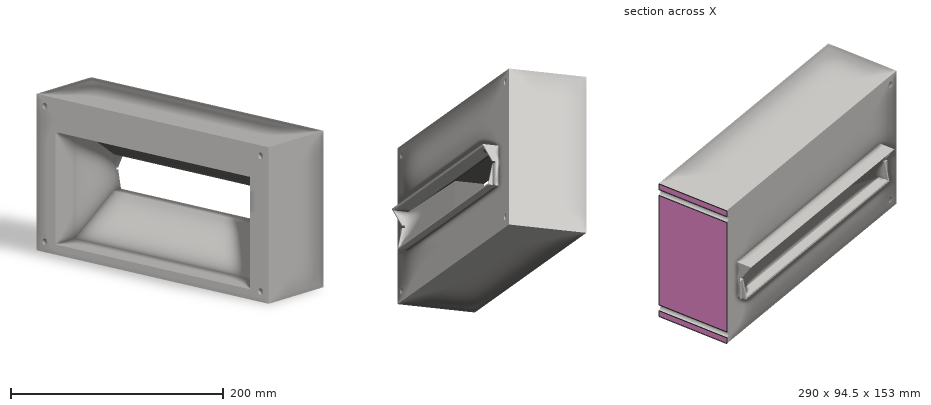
import cadquery as cq

LENGTH = 290.0
DEPTH = 78.3
HEIGHT = 153.0

PASSAGE_Z = 65.0
MOUTH_LENGTH = 243.5
MOUTH_HEIGHT = 110.0
MOUTH_DEPTH = 29.0
SLOT_LENGTH = 233.2
SLOT_HEIGHT = 35.7

HOLE_DIAMETER = 6.0
HOLE_INSET = 10.2

SPOUT_WALL = 1.7
SPOUT_LENGTH = SLOT_LENGTH + 2 * SPOUT_WALL
SPOUT_HEIGHT = SLOT_HEIGHT + 2 * SPOUT_WALL
SPOUT_BOTTOM = PASSAGE_Z - SPOUT_HEIGHT / 2
SPOUT_TOP = SPOUT_BOTTOM + SPOUT_HEIGHT
ROOF_REACH = 16.2
FLOOR_REACH = 10.5
WAIST_REACH = 6.0
NOTCH_REACH = 3.5
NOTCH_HEIGHT = 2.3
LOWER_PART_HEIGHT = 21.2

BARB_WIDTH = 3.2


def passage_plane(y):
    """Plane across the passage at depth y, with its normal pointing along +Y."""
    return cq.Plane(origin=(0, y, PASSAGE_Z), xDir=(-1, 0, 0), normal=(0, 1, 0))


def make_housing():
    block = cq.Workplane().box(LENGTH, DEPTH, HEIGHT, centered=(True, False, False))
    mouth = cq.Workplane(passage_plane(0)).rect(MOUTH_LENGTH, MOUTH_HEIGHT).extrude(MOUTH_DEPTH)
    taper = (
        cq.Workplane(passage_plane(MOUTH_DEPTH))
        .rect(MOUTH_LENGTH, MOUTH_HEIGHT)
        .workplane(offset=DEPTH - MOUTH_DEPTH)
        .rect(SLOT_LENGTH, SLOT_HEIGHT)
        .loft(ruled=True)
    )
    holes = (
        cq.Workplane("XZ", origin=(0, 0, HEIGHT / 2))
        .rect(LENGTH - 2 * HOLE_INSET, HEIGHT - 2 * HOLE_INSET, forConstruction=True)
        .vertices()
        .circle(HOLE_DIAMETER / 2)
        .extrude(-DEPTH)
    )
    return block.cut(mouth).cut(taper).cut(holes)


def make_barb(side):
    """Triangular barb with a flat rear face; side is -1 for -X and +1 for +X."""
    wall_x = side * SPOUT_LENGTH / 2
    return (
        cq.Workplane("XY", origin=(0, DEPTH, SPOUT_BOTTOM))
        .moveTo(wall_x, NOTCH_REACH)
        .lineTo(wall_x + side * BARB_WIDTH, WAIST_REACH)
        .lineTo(wall_x, WAIST_REACH)
        .close()
        .extrude(LOWER_PART_HEIGHT)
    )


def make_spout():
    notch_bottom = SPOUT_BOTTOM + LOWER_PART_HEIGHT
    notch_top = notch_bottom + NOTCH_HEIGHT
    side_outline = [
        (0, SPOUT_BOTTOM),
        (FLOOR_REACH, SPOUT_BOTTOM),
        (WAIST_REACH, notch_bottom),
        (NOTCH_REACH, notch_bottom),
        (NOTCH_REACH, notch_top),
        (WAIST_REACH, notch_top),
        (ROOF_REACH, SPOUT_TOP),
        (0, SPOUT_TOP),
    ]
    shell = (
        cq.Workplane("YZ", origin=(0, DEPTH, 0))
        .polyline(side_outline)
        .close()
        .extrude(SPOUT_LENGTH / 2, both=True)
    )
    bore = cq.Workplane(passage_plane(DEPTH)).rect(SLOT_LENGTH, SLOT_HEIGHT).extrude(ROOF_REACH)
    spout = shell.cut(bore)
    for side in (-1, 1):
        spout = spout.union(make_barb(side))
    return spout


housing = make_housing()
spout = make_spout()

result = cq.Compound.makeCompound([housing.val(), spout.val()])